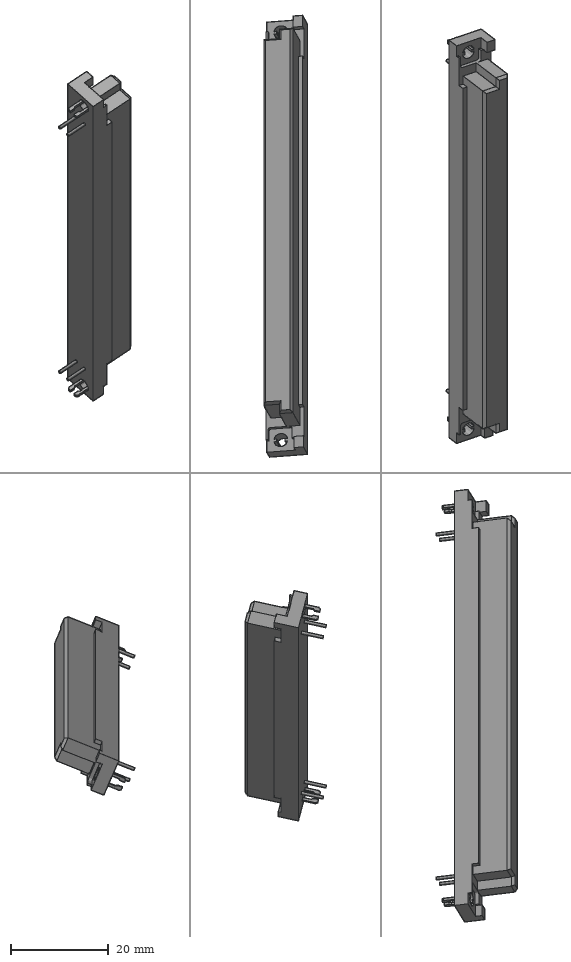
import cadquery as cq


length = 94.9
width = 8.0
base_depth = 3.7

rail_depth = 5.1
rail_end_gap = 9.0

block_x_min = -3.1
block_x_max = 2.9
block_step_x = -0.3
block_end_gap = 5.0
block_step_drop = 2.1
block_back = 11.6
block_chamfer_depth = 0.7
block_chamfer_inset = 0.5

hole_x = 1.0
hole_end_gap = 2.5
hole_diameter = 2.8
lip_width = 2.0
lip_height = hole_end_gap
upper_lip_depth = rail_depth
lower_lip_depth = 4.3
recess_floor = 2.8
recess_height = lip_height
seat_width = 5.0
seat_corner_radius = 0.6

prong_width = 0.6
prong_thickness = 0.6
prong_reach = 3.1
prong_barb_start = 1.7
prong_barb_end = 2.1
prong_barb_size = 0.3
prong_nose_start = 2.75

pin_diameter = 0.7
pin_length = 4.6
pin_pitch_x = 2.6
pin_span_z = 78.8

half_width = width / 2
half_length = length / 2
hole_z = half_length - hole_end_gap
lip_x = lip_width - half_width
ENDS = (-1, 1)
SIDES = (-1, 1)


def box_between(x_range, y_range, z_range):
    """Box that spans the given (low, high) ranges."""
    (x0, x1), (y0, y1), (z0, z1) = x_range, y_range, z_range
    return cq.Workplane("XY").box(x1 - x0, y1 - y0, z1 - z0, centered=False).translate((x0, y0, z0))


def make_base():
    """Long plate with a side rail on each long edge."""
    base = box_between((-half_width, half_width), (0, base_depth), (-half_length, half_length))
    rail_z = half_length - rail_end_gap
    rails = box_between((-half_width, half_width), (base_depth, rail_depth), (-rail_z, rail_z))
    return base.union(rails)


def block_profile(workplane, inset):
    """Stepped outline of the mating block, moved inward by the inset."""
    left = block_x_min + inset
    right = block_x_max - inset
    step = block_step_x - inset
    tall = half_length - block_end_gap - inset
    short = half_length - block_end_gap - block_step_drop - inset
    return workplane.polyline(
        [(left, -tall), (step, -tall), (step, -short), (right, -short),
         (right, short), (step, short), (step, tall), (left, tall)]
    ).close()


def make_block():
    """Mating block: a straight part and a tapered back edge."""
    straight_back = block_back - block_chamfer_depth
    straight = block_profile(cq.Workplane("XZ"), 0).extrude(-straight_back)
    taper_start = block_profile(cq.Workplane("XZ", origin=(0, straight_back, 0)), 0)
    taper = block_profile(
        taper_start.workplane(offset=-block_chamfer_depth), block_chamfer_inset
    ).loft(ruled=True, combine=True)
    return straight.union(taper)


def make_end_recess(end):
    """Cut that thins the base at one end, plus a nut seat that runs from there to the block."""
    z_range = sorted((end * half_length, end * (half_length - recess_height)))
    depth_range = (recess_floor, base_depth)
    end_cut = box_between((lip_x, half_width), depth_range, z_range)
    seat_x = (hole_x - seat_width / 2, hole_x + seat_width / 2)
    seat_z = sorted((end * half_length, end * (half_length - block_end_gap)))
    inner_corners = "|Y and <Z" if end > 0 else "|Y and >Z"
    seat = box_between(seat_x, depth_range, seat_z).edges(inner_corners).fillet(seat_corner_radius)
    return end_cut.union(seat)


def make_lip(end, depth):
    """Raised corner on the -X side at one end of the base."""
    z_range = sorted((end * half_length, end * (half_length - lip_height)))
    return box_between((-half_width, lip_x), (0, depth), z_range)


def make_mounting_holes():
    """Both through holes as one cutting tool."""
    return (
        cq.Workplane("XZ")
        .pushPoints([(hole_x, end * hole_z) for end in ENDS])
        .circle(hole_diameter / 2)
        .extrude(-base_depth)
    )


def make_prong(side, end):
    """Prong on one side wall of a hole, with a barb toward the hole axis and a sloped nose."""
    outer = hole_diameter / 2
    inner = outer - prong_width
    points = [
        (outer, recess_floor),
        (outer, -prong_nose_start),
        (outer - prong_barb_size, -prong_reach),
        (inner - prong_barb_size, -prong_reach),
        (inner - prong_barb_size, -prong_barb_end),
        (inner, -prong_barb_start),
        (inner, recess_floor),
    ]
    outline = [(hole_x + side * x, y) for x, y in points]
    prong = cq.Workplane("XY").polyline(outline).close().extrude(prong_thickness / 2, both=True)
    return prong.translate((0, 0, end * hole_z))


def make_housing():
    """Housing with its recesses, lips, holes and locking prongs, as one solid."""
    housing = make_base()
    for end in ENDS:
        housing = housing.cut(make_end_recess(end))
    housing = housing.union(make_block())
    housing = housing.union(make_lip(1, upper_lip_depth))
    housing = housing.union(make_lip(-1, lower_lip_depth))
    housing = housing.cut(make_mounting_holes())
    for end in ENDS:
        for side in SIDES:
            housing = housing.union(make_prong(side, end))
    return housing


def make_pin(x, z):
    """Round contact pin standing on the mounting face."""
    return cq.Workplane("XZ", origin=(x, 0, z)).circle(pin_diameter / 2).extrude(pin_length)


housing = make_housing()
pins = [
    make_pin(side * pin_pitch_x / 2, end * pin_span_z / 2)
    for side in SIDES
    for end in ENDS
]

result = cq.Compound.makeCompound([housing.val(), *[pin.val() for pin in pins]])